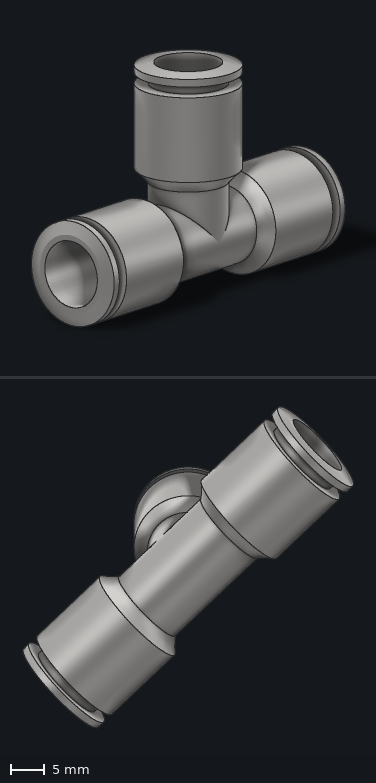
import cadquery as cq
import math

port_reach = 26.7
port_radius = 8.0
neck_radius = 6.05
collar_neck_radius = 5.95
tube_socket_radius = 5.05
bore_radius = 4.1
face_taper = 0.4
collar_thickness = 1.55
groove_width = 1.65
sleeve_length = 13.0
shoulder_length = 2.05
shoulder_sag = 0.1
sleeve_wall = 0.1

collar_back = port_reach - collar_thickness
sleeve_end = collar_back - groove_width
sleeve_start = sleeve_end - sleeve_length
shoulder_start = sleeve_start - shoulder_length
socket_floor = sleeve_start + sleeve_wall

shoulder_rise = port_radius - neck_radius
shoulder_chord = math.hypot(shoulder_rise, shoulder_length)
shoulder_middle = (
    (neck_radius + port_radius) / 2 - shoulder_sag * shoulder_length / shoulder_chord,
    (shoulder_start + sleeve_start) / 2 + shoulder_sag * shoulder_rise / shoulder_chord,
)

PORT_DIRECTIONS = [(0, -1, 0), (0, 1, 0), (0, 0, 1)]


def port_plane(direction):
    """Plane through the crossing whose local Y runs out along the port."""
    return cq.Plane(origin=(0, 0, 0), xDir=direction, normal=(1, 0, 0)).rotated((0, 0, -90))


def port_body(plane):
    """Solid of revolution: neck, concave shoulder, sleeve, groove and collar."""
    outer_end = [
        (port_radius, sleeve_end),
        (collar_neck_radius, sleeve_end),
        (collar_neck_radius, collar_back),
        (port_radius, collar_back),
        (port_radius, port_reach - face_taper),
        (collar_neck_radius, port_reach),
        (0, port_reach),
    ]
    outline = (
        cq.Workplane(plane)
        .lineTo(neck_radius, 0)
        .lineTo(neck_radius, shoulder_start)
        .threePointArc(shoulder_middle, (port_radius, sleeve_start))
        .polyline(outer_end, includeCurrent=True)
        .close()
    )
    return outline.revolve(360, (0, 0), (0, 1))


def port_cavity(plane):
    """Wide tube socket at the mouth, narrowing to the flow bore."""
    profile = [
        (0, 0),
        (bore_radius, 0),
        (bore_radius, socket_floor),
        (tube_socket_radius, socket_floor),
        (tube_socket_radius, port_reach),
        (0, port_reach),
    ]
    return cq.Workplane(plane).polyline(profile).close().revolve(360, (0, 0), (0, 1))


planes = [port_plane(direction) for direction in PORT_DIRECTIONS]

body = port_body(planes[0])
for plane in planes[1:]:
    body = body.union(port_body(plane))

for plane in planes:
    body = body.cut(port_cavity(plane))

result = body